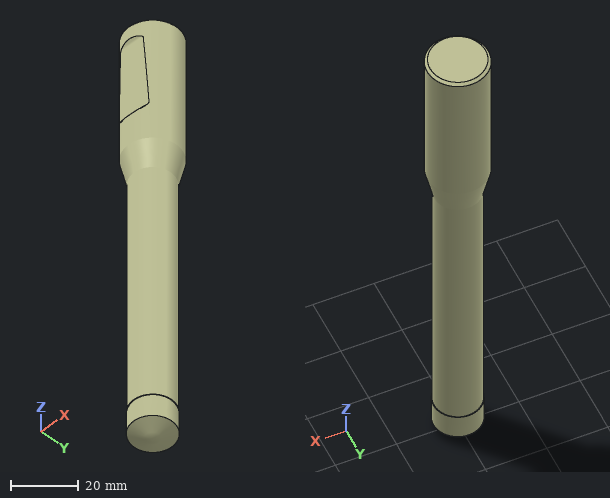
import cadquery as cq
import math

total_length = 166.5
clamp_length = 50.0
neck_length = 10.0
point_angle = 140.0
head_length = 11.8

clamp_diameter = 20.0
shaft_diameter = 15.4
cutting_diameter = 15.85
head_top_diameter = 15.8

chamfer_radial = 1.0
chamfer_axial = 0.8

flat_start = 7.2
flat_end = 35.5
gauge_place = 25.0
gauge_depth = 1.8
flat_slope = 2.0
ramp_angle = 45.0
ramp_fillet = 1.4

clamp_radius = clamp_diameter / 2
shaft_radius = shaft_diameter / 2
cutting_radius = cutting_diameter / 2
point_height = cutting_radius / math.tan(math.radians(point_angle / 2))
neck_top = total_length - clamp_length
neck_bottom = neck_top - neck_length


def revolve_profile(points):
    """Revolve a closed (radius, height) outline around the Z axis."""
    return cq.Workplane("XZ").polyline(points).close().revolve(360, (0, 0, 0), (0, 1, 0))


def flat_depth(place):
    """Depth of the sloping flat below the cylinder at a distance from the clamping end."""
    return gauge_depth + (place - gauge_place) * math.tan(math.radians(flat_slope))


def make_flat_cutter():
    """Prism along X that cuts the sloping flat and the ramps that rise from its two ends."""
    start_depth = flat_depth(flat_start)
    end_depth = flat_depth(flat_end)
    ramp_slope = math.tan(math.radians(ramp_angle))
    outline = [
        (-clamp_radius, total_length - flat_start + start_depth / ramp_slope),
        (-clamp_radius + start_depth, total_length - flat_start),
        (-clamp_radius + end_depth, total_length - flat_end),
        (-clamp_radius, total_length - flat_end - end_depth / ramp_slope),
    ]
    prism = cq.Workplane("YZ").polyline(outline).close().extrude(clamp_radius, both=True)
    inner_corners = cq.selectors.BoxSelector(
        (-clamp_radius, -clamp_radius + start_depth / 2, 0),
        (clamp_radius, 0, total_length),
    )
    return prism.edges("|X").edges(inner_corners).fillet(ramp_fillet)


def make_shank():
    """Clamping cylinder, conical neck and slimmer shaft, with the sloping flat cut in."""
    body = revolve_profile([
        (0, head_length),
        (shaft_radius, head_length),
        (shaft_radius, neck_bottom),
        (clamp_radius, neck_top),
        (clamp_radius, total_length - chamfer_axial),
        (clamp_radius - chamfer_radial, total_length),
        (0, total_length),
    ])
    return body.cut(make_flat_cutter())


def make_drill_head():
    """Drill head with a slight back taper and a conical point."""
    return revolve_profile([
        (0, 0),
        (cutting_radius, point_height),
        (head_top_diameter / 2, head_length),
        (0, head_length),
    ])


shank = make_shank()
drill_head = make_drill_head()

result = cq.Compound.makeCompound([shank.val(), drill_head.val()])